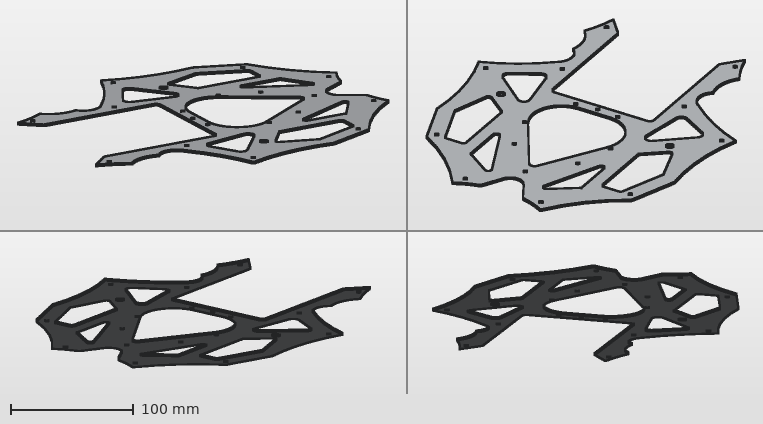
import cadquery as cq
import math

WIDTH = 244.0
LENGTH = 289.2
THICKNESS = 1.6

HALF_WIDTH = WIDTH / 2
FRONT_Y = LENGTH / 2
REAR_Y = -LENGTH / 2

NOTCH_RADIUS = 11.0
NOTCH_BOTTOM_Y = 112.0
NOTCH_SIDE_ANGLE = math.radians(60)
SHOULDER = (20.0, 136.2)
SHOULDER_RADIUS = 4.3

NOSE_TIP = (41.5, FRONT_Y)
FRONT_CORNER = (97.5, 92.8)
SIDE_CORNER = (112.8, 51.0)
WING_TIP = (HALF_WIDTH, -30.7)
LEG_TOP = (67.0, -63.3)
LEG_SPUR = (66.5, -87.3)
LEG_HEEL = (73.5, -117.0)
LEG_TIP = (62.5, REAR_Y)

NOSE_ARC_POINT = (30.7, 139.5)
FRONT_ARC_POINT = (67.0, 115.0)
SIDE_ARC_POINT = (111.5, 19.0)
WING_ARC_POINT = (89.5, -46.5)
LEG_TOP_ARC_POINT = (60.5, -75.0)
LEG_CALF_ARC_POINT = (65.5, -101.8)
LEG_TIP_ARC_POINT = (67.5, -129.5)

BAY_HALF_WIDTH = 48.0
BAY_FRONT_Y = -20.8
BAY_RADIUS = 4.0
LEG_INNER_END_Y = -128.0

WINDOW_APEX_Y = 92.5
WINDOW_REAR_Y = -9.8
WINDOW_HALF_BASE = 63.3
WINDOW_APEX_RADIUS = 4.3
WINDOW_REAR_RADIUS = 27.2

POCKET_RADIUS = 3.0
REAR_POCKET_RADIUS = 5.2
SHARP = 0.0
FRONT_POCKET = [
    (52.5, 97.7, SHARP),
    (20.8, 119.7, POCKET_RADIUS),
    (52.5, 48.3, POCKET_RADIUS),
]
SIDE_POCKET = [
    (83.5, 87.0, POCKET_RADIUS),
    (64.8, 87.0, POCKET_RADIUS),
    (64.8, 27.5, SHARP),
    (87.0, 9.8, POCKET_RADIUS),
    (99.0, 45.7, SHARP),
]
REAR_POCKET = [
    (53.0, 13.3, REAR_POCKET_RADIUS),
    (63.0, -44.5, REAR_POCKET_RADIUS),
    (98.3, -24.3, REAR_POCKET_RADIUS),
]

SMALL_HOLE_DIAMETER = 3.0
LARGE_HOLE_DIAMETER = 6.5
CENTRE_HOLES = [(0, 99.0), (0, -16.0)]
PAIRED_SMALL_HOLES = [
    (36.0, 134.0),
    (92.0, 86.0),
    (30.0, 66.0),
    (40.8, 32.0),
    (20.0, -14.0),
    (112.0, -25.2),
    (57.8, -56.0),
    (61.0, -131.3),
]
PAIRED_LARGE_HOLES = [(80.0, 3.8)]


def extrude_plate(sketch):
    """Plate-thick body, centred on the XY plane, from closed outlines."""
    return sketch.extrude(THICKNESS / 2, both=True)


def mirrored(points):
    return [(-x, y) for x, y in points]


def half_plate():
    """+X half of the plate, without its windows and holes."""
    notch_end = (
        NOTCH_RADIUS * math.sin(NOTCH_SIDE_ANGLE),
        NOTCH_BOTTOM_Y + NOTCH_RADIUS * (1 - math.cos(NOTCH_SIDE_ANGLE)),
    )
    notch_mid = (
        NOTCH_RADIUS * math.sin(NOTCH_SIDE_ANGLE / 2),
        NOTCH_BOTTOM_Y + NOTCH_RADIUS * (1 - math.cos(NOTCH_SIDE_ANGLE / 2)),
    )
    outline = (
        cq.Workplane("XY")
        .moveTo(0, NOTCH_BOTTOM_Y)
        .threePointArc(notch_mid, notch_end)
        .lineTo(*SHOULDER)
        .threePointArc(NOSE_ARC_POINT, NOSE_TIP)
        .threePointArc(FRONT_ARC_POINT, FRONT_CORNER)
        .lineTo(*SIDE_CORNER)
        .threePointArc(SIDE_ARC_POINT, WING_TIP)
        .threePointArc(WING_ARC_POINT, LEG_TOP)
        .threePointArc(LEG_TOP_ARC_POINT, LEG_SPUR)
        .threePointArc(LEG_CALF_ARC_POINT, LEG_HEEL)
        .threePointArc(LEG_TIP_ARC_POINT, LEG_TIP)
        .lineTo(BAY_HALF_WIDTH, LEG_INNER_END_Y)
        .lineTo(BAY_HALF_WIDTH, BAY_FRONT_Y)
        .lineTo(0, BAY_FRONT_Y)
        .close()
    )
    half = extrude_plate(outline)
    half = round_vertical_edge(half, SHOULDER, SHOULDER_RADIUS)
    return round_vertical_edge(half, (BAY_HALF_WIDTH, BAY_FRONT_Y), BAY_RADIUS)


def round_vertical_edge(body, corner, radius):
    edge = cq.selectors.NearestToPointSelector((*corner, 0))
    return body.edges("|Z").edges(edge).fillet(radius)


def rounded_prism(corners):
    """Straight-sided prism with its own radius at each corner."""
    body = extrude_plate(cq.Workplane("XY").polyline([(x, y) for x, y, _ in corners]).close())
    for x, y, radius in corners:
        if radius > 0:
            body = round_vertical_edge(body, (x, y), radius)
    return body


def hole_pins(points, diameter):
    return extrude_plate(cq.Workplane("XY").pushPoints(points).circle(diameter / 2))


right_half = half_plate()
for pocket in (FRONT_POCKET, SIDE_POCKET, REAR_POCKET):
    right_half = right_half.cut(rounded_prism(pocket))
plate = right_half.union(right_half.mirror("YZ"))

window = rounded_prism([
    (0, WINDOW_APEX_Y, WINDOW_APEX_RADIUS),
    (WINDOW_HALF_BASE, WINDOW_REAR_Y, WINDOW_REAR_RADIUS),
    (-WINDOW_HALF_BASE, WINDOW_REAR_Y, WINDOW_REAR_RADIUS),
])
small_holes = CENTRE_HOLES + PAIRED_SMALL_HOLES + mirrored(PAIRED_SMALL_HOLES)
large_holes = PAIRED_LARGE_HOLES + mirrored(PAIRED_LARGE_HOLES)

result = (
    plate.cut(window)
    .cut(hole_pins(small_holes, SMALL_HOLE_DIAMETER))
    .cut(hole_pins(large_holes, LARGE_HOLE_DIAMETER))
    .clean()
)